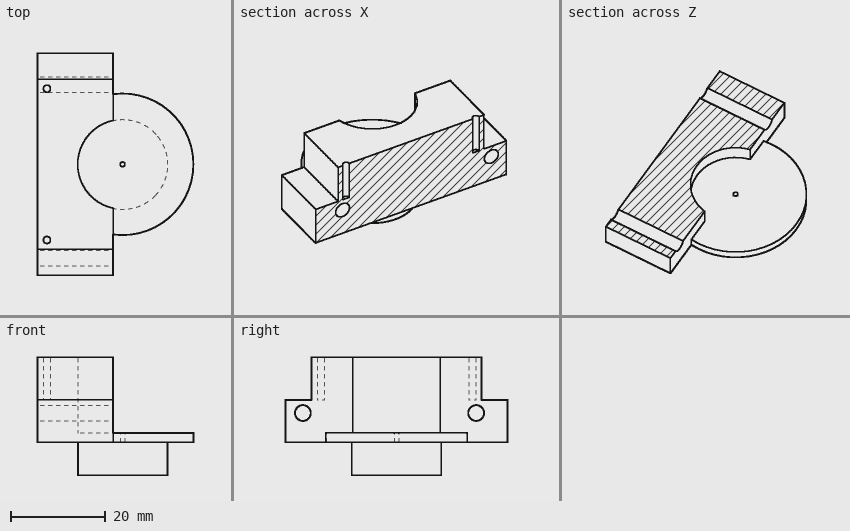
import cadquery as cq

bar_depth = 16.0
base_length = 47.0
base_height = 9.0

block_length = 36.0
block_top = 18.0

axis_x = 18.0
flange_diameter = 30.0
flange_thickness = 2.0
boss_diameter = 19.0
boss_height = 7.0
center_hole_diameter = 1.0
center_hole_bottom = 0.0

pocket_diameter = boss_diameter
pocket_floor = flange_thickness

cross_hole_diameter = 3.3
cross_hole_spacing = 36.65
cross_hole_low_y = -19.8
cross_hole_high_y = cross_hole_low_y + cross_hole_spacing
cross_hole_z = 6.2

pin_hole_diameter = 1.5
pin_hole_bottom = base_height
pin_hole_inset = 2.0
pin_hole_y = block_length / 2 - pin_hole_inset


def bar(length, height):
    """Box of the bar's depth standing on Z = 0 and centred on Y = 0."""
    return cq.Workplane("XY").box(bar_depth, length, height, centered=(False, True, False))


def vertical_cylinder(x, y, diameter, bottom, top):
    """Upright cylinder between two heights."""
    return cq.Workplane("XY", origin=(x, y, bottom)).circle(diameter / 2).extrude(top - bottom)


def cross_hole(y):
    """Cutter along X through the full depth of the bar."""
    plane = cq.Workplane("YZ", origin=(0, y, cross_hole_z))
    return plane.circle(cross_hole_diameter / 2).extrude(bar_depth)


body = bar(base_length, base_height).union(bar(block_length, block_top))
body = body.cut(vertical_cylinder(axis_x, 0, pocket_diameter, pocket_floor, block_top))

body = body.union(vertical_cylinder(axis_x, 0, flange_diameter, 0, flange_thickness))
body = body.union(vertical_cylinder(axis_x, 0, boss_diameter, -boss_height, flange_thickness))
body = body.cut(vertical_cylinder(axis_x, 0, center_hole_diameter, center_hole_bottom, flange_thickness))

for y in (cross_hole_high_y, cross_hole_low_y):
    body = body.cut(cross_hole(y))

for y in (pin_hole_y, -pin_hole_y):
    pin_hole = vertical_cylinder(pin_hole_inset, y, pin_hole_diameter, pin_hole_bottom, block_top)
    body = body.cut(pin_hole)

result = body